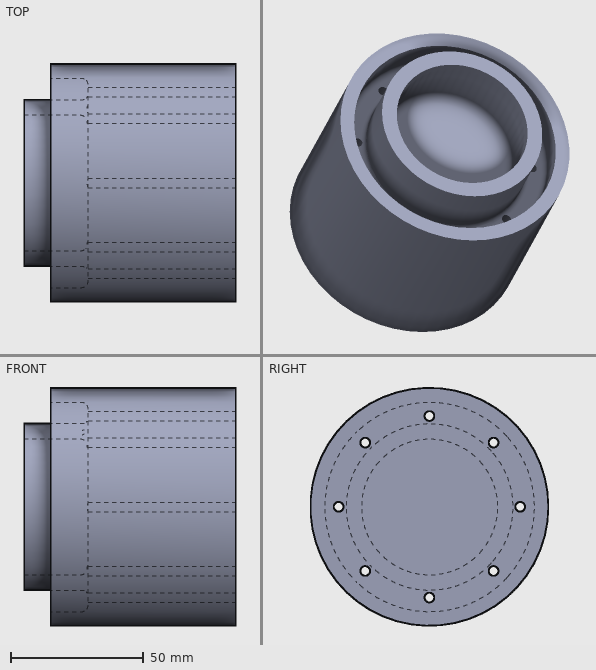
import cadquery as cq

total_length = 80.0
body_diameter = 90.0
sleeve_diameter = 63.0
sleeve_projection = 10.0
body_length = total_length - sleeve_projection

bore_diameter = 51.4
bore_depth = 24.0
bore_fillet = 3.0

groove_outer_diameter = 79.2
groove_depth = 14.0
groove_outer_fillet = 2.35
groove_inner_fillet = 2.05

hole_count = 8
hole_diameter = 3.6
hole_circle_diameter = 68.6


def cylinder(diameter, start, length):
    """Solid cylinder on the X axis, running from x = start toward +X."""
    return cq.Workplane("YZ", origin=(start, 0, 0)).circle(diameter / 2).extrude(length)


def make_bore():
    """Cutter for the blind bore, rounded around its floor."""
    return cylinder(bore_diameter, 0, bore_depth).faces(">X").edges().fillet(bore_fillet)


def make_groove():
    """Cutter for the annular groove, with a different round at each floor corner."""
    smallest = cq.selectors.RadiusNthSelector(0)
    largest = cq.selectors.RadiusNthSelector(-1)
    ring = cylinder(groove_outer_diameter, sleeve_projection, groove_depth)
    ring = ring.cut(cylinder(sleeve_diameter, sleeve_projection, groove_depth))
    ring = ring.faces(">X").edges(largest).fillet(groove_outer_fillet)
    return ring.faces(">X").edges(smallest).fillet(groove_inner_fillet)


def make_holes():
    """Cutters for the ring of holes, running the full length of the body."""
    return (
        cq.Workplane("YZ", origin=(sleeve_projection, 0, 0))
        .polarArray(hole_circle_diameter / 2, 0, 360, hole_count)
        .circle(hole_diameter / 2)
        .extrude(body_length)
    )


body = cylinder(body_diameter, sleeve_projection, body_length)
sleeve = cylinder(sleeve_diameter, 0, sleeve_projection)
result = body.union(sleeve).cut(make_groove()).cut(make_bore()).cut(make_holes())